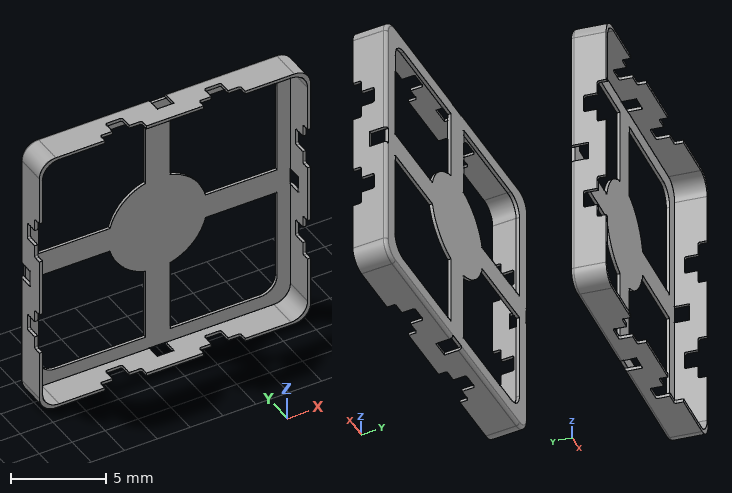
import cadquery as cq

side = 16.5
depth = 2.0
wall = 0.2
plate_thickness = 0.2
corner_radius = 1.0
edge_radius = 0.2

border = 1.0
opening_radius = 1.0
spoke_width = 1.5
hub_radius = 3.0

notch_offset = 3.0
notch_width = 2.5
notch_depth = 0.5
slot_width = 1.0
slot_depth = 1.25
notch_radius = 0.1

window_width = 1.0
window_length = 1.0

plate_y = depth / 2
rim_y = -depth / 2


def square_block(size, radius, back_y, length):
    """Round-cornered square block running from back_y toward -Y."""
    return (
        cq.Workplane("XZ", origin=(0, back_y, 0))
        .rect(size, size)
        .extrude(length)
        .edges("|Y")
        .fillet(radius)
    )


def make_tray():
    outer = square_block(side, corner_radius, plate_y, depth).faces(">Y").edges().fillet(edge_radius)
    cavity_depth = depth - plate_thickness
    cavity = square_block(side - 2 * wall, corner_radius, plate_y - plate_thickness, cavity_depth)
    return outer.cut(cavity)


def make_openings():
    """Four openings left between the border, the cross spokes and the hub."""
    opening = square_block(side - 2 * border, opening_radius, plate_y, plate_thickness)
    spokes = (
        cq.Workplane("XZ", origin=(0, plate_y, 0))
        .rect(side, spoke_width)
        .rect(spoke_width, side)
        .extrude(plate_thickness)
    )
    hub = cq.Workplane("XZ", origin=(0, plate_y, 0)).circle(hub_radius).extrude(plate_thickness)
    return opening.cut(spokes).cut(hub)


def rim_cut(center_x, width, length):
    """Cutter through the +Z wall from the rim, with rounded bottom corners."""
    return (
        cq.Workplane("XY", origin=(center_x, rim_y + length / 2, side / 2 - wall))
        .rect(width, length)
        .extrude(wall)
        .edges("|Z and >Y")
        .fillet(notch_radius)
    )


def make_wall_cuts():
    """Cutters for the +Z wall: two stepped notches and the window."""
    cuts = (
        cq.Workplane("XY", origin=(0, plate_y - window_length / 2, side / 2 - wall))
        .rect(window_width, window_length)
        .extrude(wall)
    )
    for center_x in (-notch_offset, notch_offset):
        cuts = cuts.union(rim_cut(center_x, notch_width, notch_depth))
        cuts = cuts.union(rim_cut(center_x, slot_width, slot_depth))
    return cuts


result = make_tray().cut(make_openings())
wall_cuts = make_wall_cuts()
for quarter_turn in range(4):
    result = result.cut(wall_cuts.rotate((0, 0, 0), (0, 1, 0), 90 * quarter_turn))